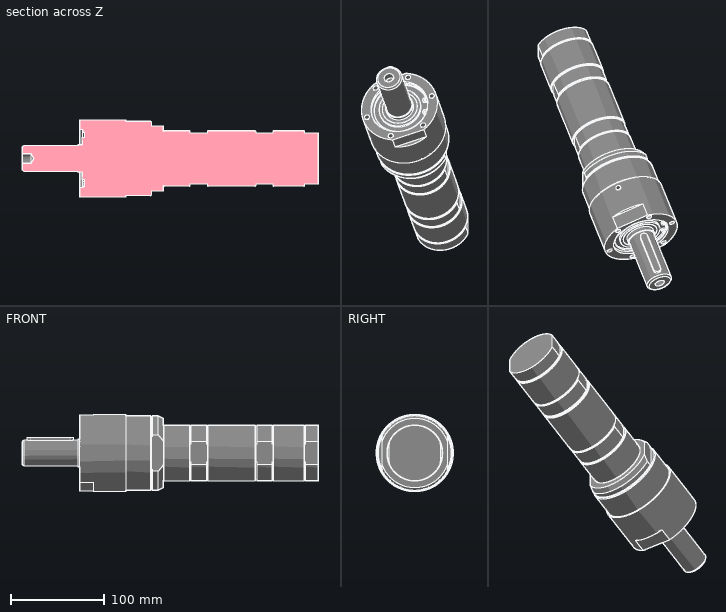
import cadquery as cq
import math

shaft_collar_x = 59.7
flange_x = 61.5
housing_x = 111.0
nut_x = 139.7
nut_bevel_x = 145.7
tube_x = 151.5
overall_length = 317.5

shaft_d = 28.0
shaft_chamfer = 2.0
collar_d = 30.0
center_bore_d = 10.2
center_bore_depth = 9.5
key_start_x = 5.0
key_length = 50.2
key_width = 8.0
key_top_z = 16.8

flange_d = 83.0
housing_d = 80.0
housing_chamfer = 1.0
relief_d = 78.0
relief_width = 1.0
nut_end_d = 74.3
nut_across_flats = 70.0

flange_turn = 15.0
flange_across_flats = 75.0
flange_flat_length = 15.0
bolt_circle_d = 73.0
bolt_hole_d = 5.5
bolt_hole_depth = 9.5
bolt_hole_count = 6
side_hole_d = 5.0
side_hole_x = 104.8
side_hole_depth = 9.5
drill_point_angle = 118.0

recess_d = 62.0
recess_depth = 5.0
ring_depth = 3.2
ring_inner_d = 58.0
ring_eccentricity = 1.0
ear_d = 5.0
ear_hole_d = 1.55
ear_y = 27.3
ear_z = 7.3
seal_d = 45.0
seal_lip_d = 38.0
seal_depth = 2.5
seal_lip_depth = 3.0

tube_d = 60.0
groove_d = 58.0
tube_chamfer = 0.5
groove_width = 1.0
tube_across_flats = 55.0
flat_bands = [(181.0, 197.5), (251.8, 267.5), (303.5, overall_length)]
tube_bands = [(tube_x, 180.0), (198.5, 250.2), (268.5, 302.5)]


def rod(diameter, start_x, end_x):
    """Cylinder on the X axis."""
    return cq.Workplane("YZ", origin=(start_x, 0, 0)).circle(diameter / 2).extrude(end_x - start_x)


def drilled_hole(diameter, depth):
    """Blind hole along +X from the origin, ending in a drill point."""
    radius = diameter / 2
    point_length = radius / math.tan(math.radians(drill_point_angle / 2))
    outline = [(0, 0), (0, radius), (depth, radius), (depth + point_length, 0)]
    return cq.Workplane("XY").polyline(outline).close().revolve(360, (0, 0, 0), (1, 0, 0))


def turned(shape, angle):
    """Turn a shape about the X axis."""
    return shape.rotate((0, 0, 0), (1, 0, 0), angle)


def flats(across, start_x, end_x, axis):
    """Slab kept between two opposite flats whose normal is the Y or Z axis."""
    length = end_x - start_x
    size_y, size_z = (across, 2 * flange_d) if axis == "Y" else (2 * flange_d, across)
    return cq.Workplane("XY").box(length, size_y, size_z).translate((start_x + length / 2, 0, 0))


def make_shaft():
    shaft = rod(shaft_d, 0, flange_x).faces("<X").chamfer(shaft_chamfer)
    collar = rod(collar_d, shaft_collar_x, flange_x + recess_depth)
    key = (
        cq.Workplane("XY")
        .center(key_start_x + key_length / 2, 0)
        .slot2D(key_length, key_width)
        .extrude(key_top_z)
    )
    return shaft.union(collar).union(key).cut(drilled_hole(center_bore_d, center_bore_depth))


def make_flange():
    flat_end_x = flange_x + flange_flat_length
    front = rod(flange_d, flange_x, flat_end_x)
    front = front.intersect(flats(flange_across_flats, flange_x, flat_end_x, "Z"))
    flange = rod(flange_d, flat_end_x, housing_x).union(front)
    bolt_hole = drilled_hole(bolt_hole_d, bolt_hole_depth).translate((flange_x, 0, bolt_circle_d / 2))
    bolt_pitch = 360 / bolt_hole_count
    for index in range(bolt_hole_count):
        flange = flange.cut(turned(bolt_hole, (index + 0.5) * bolt_pitch))
    side_hole = (
        cq.Workplane("XY", origin=(side_hole_x, 0, flange_d / 2 - side_hole_depth))
        .circle(side_hole_d / 2)
        .extrude(2 * side_hole_depth)
    )
    flange = turned(flange.cut(side_hole), -flange_turn)
    return flange.cut(rod(recess_d, flange_x, flange_x + recess_depth))


def ear_pair(diameter, start_x, end_x):
    """Two discs at the centres of the retaining ring's ears."""
    disc = rod(diameter, start_x, end_x)
    return disc.translate((0, -ear_y, -ear_z)).union(disc.translate((0, -ear_y, ear_z)))


def make_recess_parts():
    floor_x = flange_x + recess_depth
    ring_x = flange_x + ring_depth
    ears = ear_pair(ear_d, ring_x, floor_x)
    ear_holes = ear_pair(ear_hole_d, ring_x, floor_x)
    opening = rod(ring_inner_d, ring_x, floor_x).translate((0, -ring_eccentricity, 0))
    ring = rod(recess_d, ring_x, floor_x).cut(opening).union(ears).cut(ear_holes)
    seal = rod(seal_d, flange_x + seal_depth, floor_x)
    seal = seal.cut(rod(seal_lip_d, flange_x + seal_depth, flange_x + seal_lip_depth))
    return ring.union(seal)


def make_housing():
    return rod(housing_d, housing_x, nut_x - relief_width).faces(">X").chamfer(housing_chamfer)


def make_nut():
    bevel = (
        cq.Workplane("YZ", origin=(nut_bevel_x, 0, 0))
        .circle(housing_d / 2)
        .workplane(offset=tube_x - nut_bevel_x)
        .circle(nut_end_d / 2)
        .loft(ruled=True)
    )
    start_x = nut_x - relief_width
    nut = rod(housing_d, nut_x, nut_bevel_x).union(bevel).union(rod(relief_d, start_x, nut_x))
    return nut.intersect(flats(nut_across_flats, start_x, tube_x, "Y"))


def make_tube():
    tube = rod(groove_d, tube_x, overall_length)
    for start_x, end_x in tube_bands:
        tube = tube.union(rod(tube_d, start_x, end_x).faces("<X or >X").chamfer(tube_chamfer))
    for start_x, end_x in flat_bands:
        low_x = start_x - groove_width
        high_x = min(end_x + groove_width, overall_length)
        flat_sides = rod(flange_d, low_x, high_x).cut(flats(tube_across_flats, low_x, high_x, "Y"))
        tube = tube.union(rod(tube_d, start_x, end_x)).cut(flat_sides)
    return tube


result = make_flange().union(make_recess_parts()).union(make_shaft())
result = result.union(make_housing()).union(make_nut()).union(make_tube())